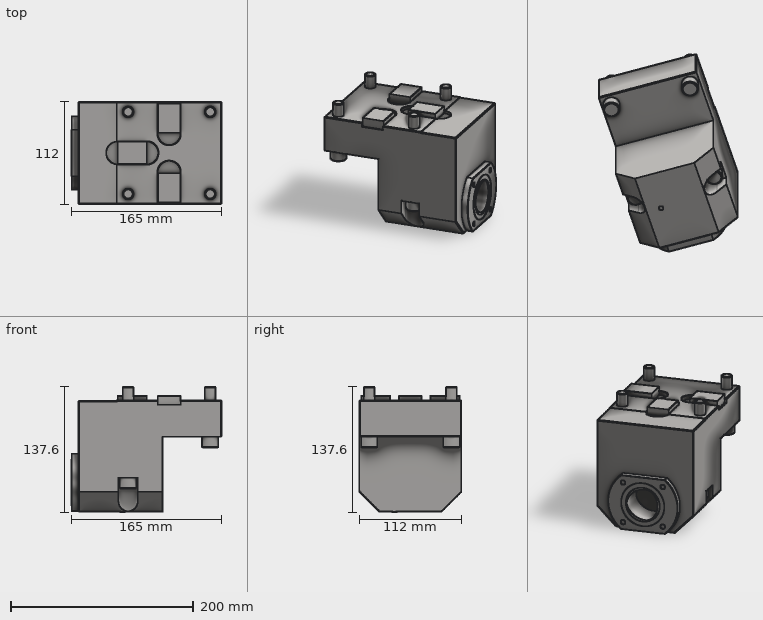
import math

import cadquery as cq


block_length = 157.0
block_width = 112.0
bottom_z = -32.0
top_z = 90.0
leg_length = 92.5
arm_thickness = 40.0
lower_bevel = 22.0
edge_chamfer = 1.0
step_x = 42.0
step_drop = 0.5

bolt_first_x = 54.5
bolt_spacing = 90.0
bolt_diameter = 12.0
bolt_protrusion = 15.0
bolt_head_diameter = 18.0
bolt_head_height = 12.0
bolt_chamfer = 1.0
bolt_head_chamfer = 1.2
head_pocket_width = 21.0
head_seat_z = 5.0

key_length = 32.0
key_width = 25.0
key_protrusion = 5.0
key_chamfer = 0.4
slot_rim_chamfer = 0.5
center_slot_depth = 3.5
side_slot_depth = 5.0
center_slot_x = 59.0
side_slot_x = 99.5
side_key_inset = 2.0
side_slot_clearance = 0.75

flange_diameter = 81.0
flange_height = 63.0
flange_thickness = 7.5
flange_chamfer = 0.5
ring_diameter = 50.0
ring_height = 0.5
flange_recess_spacing = 46.0
flange_recess_diameter = 5.5
flange_recess_depth = 0.3

bore_mouth_diameter = 39.2
bore_mouth_depth = 0.5
bore_mean_diameter = 35.3
bore_eccentricity = 1.7
bore_depth = 30.0
bore_taper = 1 / 20
bore_curve_points = 48

button_x = 48.5
button_y = -17.5
button_diameter = 5.0
button_height = 0.55

half_width = block_width / 2
bolt_y = bolt_spacing / 2
bolt_last_x = bolt_first_x + bolt_spacing
ring_face_x = -flange_thickness - ring_height


def box(x_range, y_range, z_range):
    size = [high - low for low, high in (x_range, y_range, z_range)]
    corner = (x_range[0], y_range[0], z_range[0])
    return cq.Workplane("XY").box(*size, centered=False).translate(corner)


def vertical_cylinder(x, y, z, diameter, height):
    return cq.Workplane("XY", origin=(x, y, z)).circle(diameter / 2).extrude(height)


def axial_cylinder(x, y, z, diameter, length):
    return cq.Workplane("YZ", origin=(x, y, z)).circle(diameter / 2).extrude(length)


def make_block(block_top_z):
    body = box((0, block_length), (-half_width, half_width), (bottom_z, block_top_z))
    body = body.edges("|X and <Z").chamfer(lower_bevel)
    under_arm = box(
        (leg_length, block_length),
        (-half_width, half_width),
        (bottom_z, top_z - arm_thickness),
    )
    body = body.cut(under_arm)
    return body.faces("<X or >X or >Z").edges().chamfer(edge_chamfer)


def make_stepped_block():
    """The top face next to the flange end lies slightly lower than the rest."""
    above_step = box((0, step_x), (-half_width, half_width), (bottom_z, top_z))
    high_part = make_block(top_z).cut(above_step)
    low_part = make_block(top_z - step_drop).intersect(above_step)
    return low_part.union(high_part)


def slot_cutter(x, y, straight_length, depth, angle):
    """A round-ended slot whose rim flares out at 45 degrees; (x, y) is its middle."""
    length = straight_length + key_width
    slot = cq.Workplane("XY", origin=(x, y, top_z))
    slot = slot.slot2D(length, key_width, angle).extrude(-depth)
    rim = cq.Workplane("XY", origin=(x, y, top_z))
    rim = rim.slot2D(length + 2 * slot_rim_chamfer, key_width + 2 * slot_rim_chamfer, angle)
    return slot.union(rim.extrude(-slot_rim_chamfer, taper=45))


def side_slot_cutter(side):
    """A slot with a round inner end that runs out through the side face."""
    inner_y = half_width - side_key_inset - key_length - side_slot_clearance
    outer_y = half_width + key_width
    middle_y = side * (inner_y + outer_y) / 2
    return slot_cutter(side_slot_x, middle_y, outer_y - inner_y, side_slot_depth, 90)


def make_key(slot_depth):
    """A key lying along X on its slot floor, with chamfered long edges."""
    blank = cq.Workplane("XY", origin=(0, 0, top_z - slot_depth)).rect(key_length, key_width)
    return blank.extrude(slot_depth + key_protrusion).edges("|X").chamfer(key_chamfer)


def bolt_end(x, y):
    end = vertical_cylinder(x, y, top_z, bolt_diameter, bolt_protrusion)
    return end.faces(">Z").chamfer(bolt_chamfer)


def bolt_head(x, y, seat_z):
    head = vertical_cylinder(x, y, seat_z, bolt_head_diameter, -bolt_head_height)
    return head.faces("<Z").chamfer(bolt_head_chamfer)


def head_pocket_cutter(side):
    """A round-ended pocket, open at the side and at the bottom, under a leg bolt."""
    height = head_seat_z - bottom_z
    round_end = vertical_cylinder(bolt_first_x, side * bolt_y, bottom_z, head_pocket_width, height)
    opening = cq.Workplane("XY", origin=(bolt_first_x, side * (bolt_y + half_width) / 2, bottom_z))
    opening = opening.rect(head_pocket_width, half_width - bolt_y).extrude(height)
    return round_end.union(opening)


def make_flange():
    flange = axial_cylinder(-flange_thickness, 0, 0, flange_diameter, flange_thickness)
    flats = box(
        (-flange_thickness, 0),
        (-flange_diameter, flange_diameter),
        (-flange_height / 2, flange_height / 2),
    )
    flange = flange.intersect(flats).faces("<X").chamfer(flange_chamfer)
    ring = axial_cylinder(ring_face_x, 0, 0, ring_diameter, -ring_face_x)
    return flange.union(ring)


def cut_flange_recesses(body):
    """Four shallow conical recesses in the flange face."""
    recesses = (
        cq.Workplane("YZ", origin=(-flange_thickness, 0, 0))
        .rect(flange_recess_spacing, flange_recess_spacing, forConstruction=True)
        .vertices()
        .circle(flange_recess_diameter / 2)
        .extrude(flange_recess_depth, taper=45)
    )
    return body.cut(recesses)


def lobed_point(mean_diameter, turn):
    """A point of the rounded triangle, which has one lobe pointing to +Y."""
    radius = mean_diameter / 2
    ecc = bore_eccentricity
    flat_ward = radius * math.cos(turn) - ecc * math.cos(2 * turn) + ecc / 2 * math.cos(4 * turn)
    across = radius * math.sin(turn) + ecc * math.sin(2 * turn) + ecc / 2 * math.sin(4 * turn)
    return -flat_ward, across


def lobed_section(x, mean_diameter):
    turns = [2 * math.pi * i / bore_curve_points for i in range(bore_curve_points)]
    points = [lobed_point(mean_diameter, turn) for turn in turns]
    section = cq.Workplane("YZ", origin=(x, 0, 0)).spline(points, periodic=True).wire()
    return section.val()


def make_bore_cutter():
    floor_diameter = bore_mean_diameter - bore_taper * bore_depth
    sections = [
        lobed_section(ring_face_x, bore_mean_diameter),
        lobed_section(ring_face_x + bore_depth, floor_diameter),
    ]
    bore = cq.Workplane(cq.Solid.makeLoft(sections, True))
    mouth = axial_cylinder(ring_face_x, 0, 0, bore_mouth_diameter, bore_mouth_depth)
    return bore.union(mouth)


result = make_stepped_block()

result = result.cut(slot_cutter(center_slot_x, 0, key_length, center_slot_depth, 0))
result = result.union(make_key(center_slot_depth).translate((center_slot_x, 0, 0)))

for side in (-1, 1):
    result = result.cut(side_slot_cutter(side))
    key_y = side * (half_width - side_key_inset - key_length / 2)
    side_key = make_key(side_slot_depth).rotate((0, 0, 0), (0, 0, 1), 90)
    side_key = side_key.translate((side_slot_x, key_y, 0))
    result = result.union(side_key)

    result = result.cut(head_pocket_cutter(side))
    result = result.union(bolt_head(bolt_first_x, side * bolt_y, head_seat_z))
    result = result.union(bolt_head(bolt_last_x, side * bolt_y, top_z - arm_thickness))
    for bolt_x in (bolt_first_x, bolt_last_x):
        result = result.union(bolt_end(bolt_x, side * bolt_y))

result = result.union(make_flange())
result = cut_flange_recesses(result)
result = result.cut(make_bore_cutter())

button = vertical_cylinder(button_x, button_y, bottom_z, button_diameter, -button_height)
result = result.union(button)